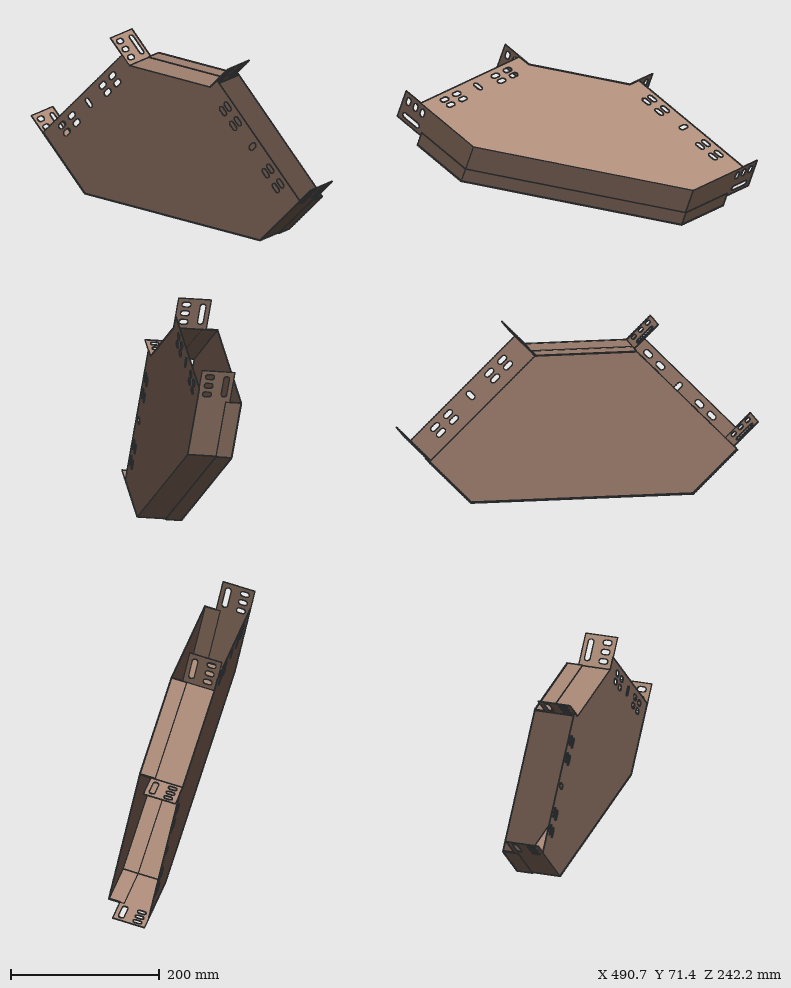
import cadquery as cq
import math

SHEET = 1.0
WIDTH = 202.0
INNER_HALF = 70.0
OUTER_LEG = 101.5
FLOOR_LEG = 17.5
STRAP_LEG = 45.5
DEPTH = 61.5
STRAP_HEIGHT = 45.0
LIP_HEIGHT = 22.0

FLOOR_SLOT_LENGTH = 14.0
FLOOR_SLOT_WIDTH = 7.5
FLOOR_ROW_ALONG = 0.5
FLOOR_ROW_PITCH = 12.0
FLOOR_SLOT_OFFSETS = (39.5, 64.0)
CENTRE_SLOT_ALONG = 2.5

LONG_SLOT_LENGTH = 31.0
LONG_SLOT_WIDTH = 8.0
LONG_SLOT_INSET = 22.5
LONG_SLOT_DEPTH = 35.5
SHORT_SLOT_LENGTH = 12.5
SHORT_SLOT_WIDTH = 7.5
SHORT_SLOT_PITCH = 13.5
SHORT_SLOT_DEPTH = 12.5

TILT_X = -0.2
TILT_Y = -1.5
TILT_Z = 1.25

LEG_ANGLE = 45
LEG = math.cos(math.radians(LEG_ANGLE))
MITRE = math.tan(math.radians(LEG_ANGLE / 2))
CLEAR = 5.0
DRILL = 10 * SHEET


def leg_point(along, across):
    """Point in the right-hand leg, measured from the inner corner."""
    return (INNER_HALF + LEG * (along + across), LEG * (along - across))


def elbow(inset, end, start_depth, stop_depth):
    """Prism of the elbow outline, its walls moved in by inset, its legs ending at end."""
    outer_u, outer_v = leg_point(FLOOR_LEG - OUTER_LEG, WIDTH)
    right = [
        (INNER_HALF + inset * MITRE, -inset),
        leg_point(end, inset),
        leg_point(end, WIDTH - inset),
        (outer_u - inset * MITRE, outer_v + inset),
    ]
    left = [(-u, v) for u, v in reversed(right)]
    prism = cq.Workplane("XZ", origin=(0, start_depth, 0)).polyline(right + left).close()
    return prism.extrude(start_depth - stop_depth)


def both_sides(right_shape):
    """A right-hand shape together with its mirror image about u = 0."""
    return right_shape.union(right_shape.mirror("YZ"))


def end_notch():
    """Space over the straps, where the walls stop short of the cover."""
    corners = [
        leg_point(0, -CLEAR),
        leg_point(STRAP_LEG + CLEAR, -CLEAR),
        leg_point(STRAP_LEG + CLEAR, WIDTH + CLEAR),
        leg_point(0, WIDTH + CLEAR),
    ]
    outline = cq.Workplane("XZ", origin=(0, STRAP_HEIGHT, 0)).polyline(corners).close()
    notch = outline.extrude(-DEPTH)
    return both_sides(notch)


def floor_slots():
    """Slots through the floor, laid out in both legs."""
    plane = cq.Plane(origin=(INNER_HALF, 0, 0), xDir=(LEG, 0, LEG), normal=(0, -1, 0))
    rows = [FLOOR_ROW_ALONG + side * FLOOR_ROW_PITCH / 2 for side in (-1, 1)]
    middle = -WIDTH / 2
    places = [
        (row, middle + side * offset)
        for row in rows
        for offset in FLOOR_SLOT_OFFSETS
        for side in (-1, 1)
    ]
    sketch = cq.Workplane(plane)
    pairs = (
        sketch.pushPoints(places)
        .slot2D(FLOOR_SLOT_LENGTH, FLOOR_SLOT_WIDTH, 90)
        .extrude(DRILL / 2, both=True)
    )
    centre = (
        sketch.pushPoints([(CENTRE_SLOT_ALONG, middle)])
        .slot2D(FLOOR_SLOT_LENGTH, FLOOR_SLOT_WIDTH)
        .extrude(DRILL / 2, both=True)
    )
    return both_sides(pairs.union(centre))


def strap_slots(across):
    """One long and three short slots through the straps at one side of the channel."""
    u, v = leg_point(STRAP_LEG - LONG_SLOT_INSET, across)
    plane = cq.Plane(origin=(u, 0, v), xDir=(LEG, 0, LEG), normal=(-LEG, 0, LEG))
    sketch = cq.Workplane(plane)
    long_slot = (
        sketch.pushPoints([(0, LONG_SLOT_DEPTH)])
        .slot2D(LONG_SLOT_LENGTH, LONG_SLOT_WIDTH)
        .extrude(DRILL / 2, both=True)
    )
    places = [(step * SHORT_SLOT_PITCH, SHORT_SLOT_DEPTH) for step in (-1, 0, 1)]
    short_slots = (
        sketch.pushPoints(places)
        .slot2D(SHORT_SLOT_LENGTH, SHORT_SLOT_WIDTH, 90)
        .extrude(DRILL / 2, both=True)
    )
    return both_sides(long_slot.union(short_slots))


def tilted(body):
    """Turn a body from the local frame into its place."""
    origin = (0, 0, 0)
    body = body.rotate(origin, (1, 0, 0), TILT_X)
    body = body.rotate(origin, (0, 1, 0), TILT_Y)
    return body.rotate(origin, (0, 0, 1), TILT_Z)


def make_tray():
    """Floor and walls, the wall ends cut down to straps."""
    walls = elbow(0, STRAP_LEG, 0, DEPTH - SHEET)
    walls = walls.cut(elbow(SHEET, STRAP_LEG + CLEAR, -CLEAR, DEPTH))
    walls = walls.cut(end_notch())
    tray = walls.union(elbow(0, FLOOR_LEG, 0, SHEET)).cut(floor_slots())
    for across in (0, WIDTH):
        tray = tray.cut(strap_slots(across))
    return tilted(tray)


def make_cover():
    """Flat cover whose lip reaches over the outside of the tray walls."""
    block = elbow(-SHEET, 0, DEPTH - LIP_HEIGHT, DEPTH)
    inside = elbow(0, STRAP_LEG, 0, DEPTH - SHEET)
    return tilted(block.cut(inside))


tray = make_tray()
cover = make_cover()
result = cq.Compound.makeCompound([tray.val(), cover.val()])